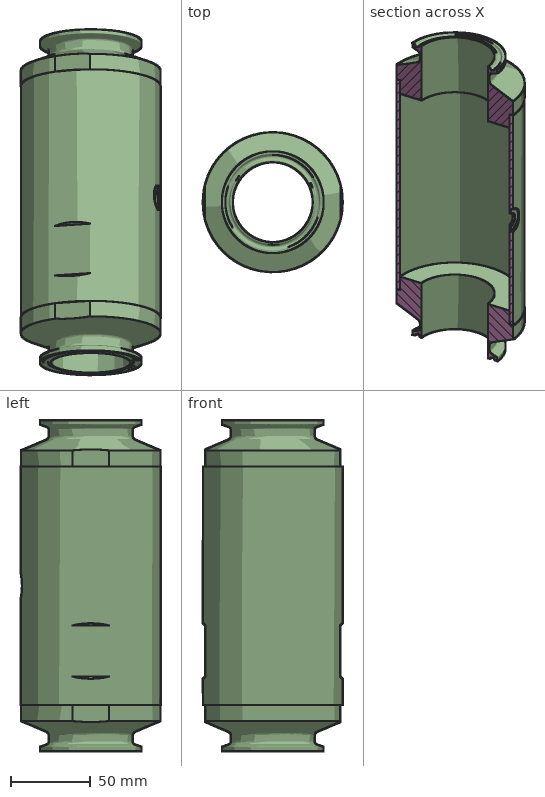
import cadquery as cq
import math

total_length = 208.0
body_diameter = 88.0
body_radius = body_diameter / 2
bore_diameter = 50.0
bore_radius = bore_diameter / 2

housing_length = 150.0
housing_bore_diameter = 82.0
housing_bottom = (total_length - housing_length) / 2

across_flats = 85.0
flat_depth = (body_diameter - across_flats) / 2
housing_flat_length = 32.0
housing_flat_center_height = 63.0

port_diameter = 8.57
spot_face_diameter = 15.5
spot_face_depth = 1.5
port_height = total_length / 2

cap_length = housing_bottom
spigot_length = 10.0
shoulder_height = 19.0
shoulder_angle = 23.0
neck_radius = 53.0 / 2
neck_shoulder_fillet = 2.0
flange_radius = 64.0 / 2
flange_rim_height = 2.85
flange_angle = 20.0
flange_neck_fillet = 1.5
flange_rim_fillet = 0.4

groove_center_radius = 56.5 / 2
groove_half_width = 1.6
groove_depth = 1.5
groove_lip_fillet = 0.7

edge_tolerance = 0.001


def side_cutter(profile_points):
    """Cutter from an (X, Z) profile on the +X side, wide enough to clear the body."""
    return (
        cq.Workplane("XZ")
        .polyline(profile_points)
        .close()
        .extrude(body_radius, both=True)
    )


def cut_on_both_sides(body, cutter):
    return body.cut(cutter).cut(cutter.mirror("YZ"))


def make_housing():
    tube = (
        cq.Workplane("XY", origin=(0, 0, housing_bottom))
        .circle(body_radius)
        .circle(housing_bore_diameter / 2)
        .extrude(housing_length)
    )

    flat_x = across_flats / 2
    half_flat = housing_flat_length / 2
    half_opening = half_flat + flat_depth
    flat_cutter = side_cutter([
        (flat_x, housing_flat_center_height - half_flat),
        (body_radius, housing_flat_center_height - half_opening),
        (body_radius, housing_flat_center_height + half_opening),
        (flat_x, housing_flat_center_height + half_flat),
    ])
    tube = cut_on_both_sides(tube, flat_cutter)

    port_plane = cq.Workplane("XZ", origin=(0, body_radius, port_height))
    spot_face = port_plane.circle(spot_face_diameter / 2).extrude(spot_face_depth)
    port = port_plane.circle(port_diameter / 2).extrude(body_radius)
    return tube.cut(spot_face).cut(port)


def fillet_circle(body, radius, height, fillet):
    """Fillet the circular edge about the Z axis that has this radius and height."""
    circle = [
        edge for edge in body.edges("%CIRCLE").vals()
        if math.isclose(edge.radius(), radius, abs_tol=edge_tolerance)
        and math.isclose(edge.Center().z, height, abs_tol=edge_tolerance)
    ]
    return body.newObject(circle).fillet(fillet)


def make_cap_blank():
    """Revolved cap with its flange face at Z = 0 and its spigot pointing up."""
    spigot_radius = housing_bore_diameter / 2
    spigot_end = cap_length + spigot_length
    flange_slope = math.tan(math.radians(flange_angle))
    shoulder_slope = math.tan(math.radians(shoulder_angle))
    neck_bottom = flange_rim_height + (flange_radius - neck_radius) * flange_slope
    neck_top = shoulder_height - (body_radius - neck_radius) * shoulder_slope
    blank = (
        cq.Workplane("XZ")
        .moveTo(bore_radius, 0)
        .lineTo(flange_radius, 0)
        .lineTo(flange_radius, flange_rim_height)
        .lineTo(neck_radius, neck_bottom)
        .lineTo(neck_radius, neck_top)
        .lineTo(body_radius, shoulder_height)
        .lineTo(body_radius, cap_length)
        .lineTo(spigot_radius, cap_length)
        .lineTo(spigot_radius, spigot_end)
        .lineTo(bore_radius, spigot_end)
        .close()
        .revolve(360, (0, 0, 0), (0, 1, 0))
    )

    blank = fillet_circle(blank, flange_radius, flange_rim_height, flange_rim_fillet)
    blank = fillet_circle(blank, neck_radius, neck_bottom, flange_neck_fillet)
    return fillet_circle(blank, neck_radius, neck_top, neck_shoulder_fillet)


def make_gasket_groove():
    return (
        cq.Workplane("XZ")
        .moveTo(groove_center_radius - groove_half_width, 0)
        .threePointArc(
            (groove_center_radius, groove_depth),
            (groove_center_radius + groove_half_width, 0),
        )
        .close()
        .revolve(360, (0, 0, 0), (0, 1, 0))
    )


def make_bottom_cap():
    cap = make_cap_blank().cut(make_gasket_groove())
    inner_lip_radius = groove_center_radius - groove_half_width
    outer_lip_radius = groove_center_radius + groove_half_width
    for lip_radius in (inner_lip_radius, outer_lip_radius):
        cap = fillet_circle(cap, lip_radius, 0, groove_lip_fillet)
    flat_x = across_flats / 2
    flat_cutter = side_cutter([
        (flat_x, 0),
        (body_radius, 0),
        (body_radius, cap_length),
        (flat_x, cap_length),
    ])
    return cut_on_both_sides(cap, flat_cutter)


housing = make_housing()
bottom_cap = make_bottom_cap()
top_cap = bottom_cap.mirror("XY", (0, 0, total_length / 2))

result = cq.Compound.makeCompound([housing.val(), bottom_cap.val(), top_cap.val()])